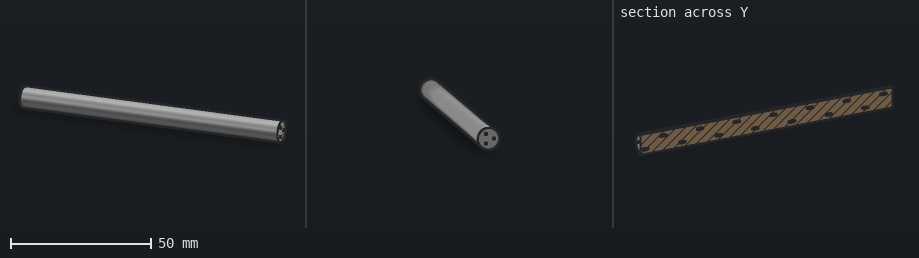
import cadquery as cq

length = 100.0
diameter = 8.0
chamfer_size = 0.4

channel_count = 3
channel_diameter = 0.7
channel_circle_radius = 2.0
channel_start_angle = 13
channel_pitch = 43.5


def make_rod():
    """Plain cylinder with its front (-X) rim chamfered."""
    rod = cq.Workplane("YZ").circle(diameter / 2).extrude(length)
    return rod.faces("<X").edges().chamfer(chamfer_size)


def make_channels():
    """Round channels twisting about the rod axis over its full length."""
    twist = 360.0 * length / channel_pitch
    return (
        cq.Workplane("YZ")
        .polarArray(channel_circle_radius, channel_start_angle, 360, channel_count)
        .circle(channel_diameter / 2)
        .twistExtrude(length, twist)
    )


result = make_rod().cut(make_channels())